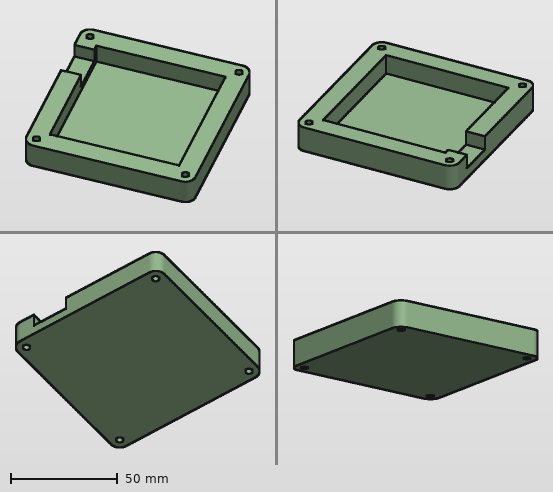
import cadquery as cq

width = 84.0
length = 85.1
height = 13.0
corner_radius = 5.0

pocket_width = 64.2
pocket_length = 65.0
pocket_depth = 10.0

notch_start = 11.1
notch_length = 18.55
notch_depth = 7.3

hole_diameter = 3.4
hole_spacing_x = width - 2 * corner_radius
hole_spacing_y = length - 2 * corner_radius


def make_body():
    body = cq.Workplane("XY").box(width, length, height, centered=(True, True, False))
    return body.edges("|Z").fillet(corner_radius)


def make_pocket():
    pocket = cq.Workplane("XY").workplane(offset=height - pocket_depth)
    return pocket.rect(pocket_width, pocket_length).extrude(pocket_depth)


def make_notch():
    notch = cq.Workplane("XY").box(width / 2, notch_length, notch_depth, centered=False)
    return notch.translate((-width / 2, notch_start, height - notch_depth))


def make_screw_holes():
    holes = cq.Workplane("XY").rect(hole_spacing_x, hole_spacing_y, forConstruction=True).vertices()
    return holes.circle(hole_diameter / 2).extrude(height)


result = make_body().cut(make_pocket()).cut(make_notch()).cut(make_screw_holes())